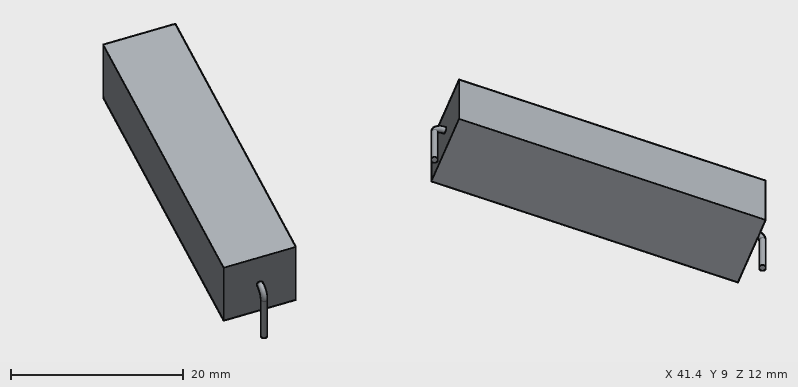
import cadquery as cq

body_length = 38.0
body_width = 9.0
body_height = 9.0

lead_diameter = 0.8
lead_pitch = 40.64
lead_depth = 3.0
bend_radius = 1.2

lead_x = lead_pitch / 2
lead_exit_z = body_height / 2
bend_start_x = lead_x - bend_radius
bend_end_z = lead_exit_z - bend_radius


def make_body():
    return cq.Workplane("XY").box(body_length, body_width, body_height, centered=(True, True, False))


def make_lead():
    """Lead on the +X end: a straight leg, a quarter bend and a run into the body centre."""
    diagonal = bend_radius * 0.5**0.5
    path = (
        cq.Workplane("XZ")
        .moveTo(lead_x, -lead_depth)
        .lineTo(lead_x, bend_end_z)
        .threePointArc((bend_start_x + diagonal, bend_end_z + diagonal), (bend_start_x, lead_exit_z))
        .lineTo(0, lead_exit_z)
    )
    wire_section = cq.Workplane("XY", origin=(lead_x, 0, -lead_depth)).circle(lead_diameter / 2)
    return wire_section.sweep(path)


right_lead = make_lead()
left_lead = right_lead.mirror("YZ")
result = make_body().union(right_lead).union(left_lead)